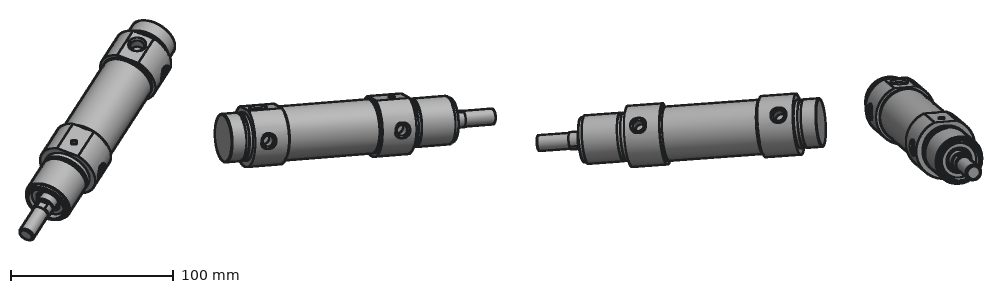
import cadquery as cq

total_length = 178.0

collar_diameter = 38.0
collar_length = 22.0
overall_height = 36.5
flat_height = overall_height - collar_diameter / 2
front_collar_start = 58.0
rear_collar_end = 164.0
rear_collar_start = rear_collar_end - collar_length
front_collar_end = front_collar_start + collar_length
port_inset = 8.9

barrel_diameter = 33.6
shoulder_length = 1.5
barrel_start = front_collar_end + shoulder_length
barrel_end = rear_collar_start - shoulder_length

neck_diameter = 30.0
relief_diameter = 28.0
groove_width = 2.1
front_groove_inset = 3.2
rear_groove_inset = 2.1
rear_chamfer = 0.5

nose_start = 28.0
nose_length = 2.7
nose_chamfer = 0.5
recess_mouth_diameter = 24.2
recess_floor_diameter = 22.0
recess_depth = 2.7
gland_mouth_diameter = 16.0
gland_chamfer = 0.5
gland_depth = 1.2
seal_bore_diameter = 13.0
seal_bore_depth = 2.7

counterbore_diameter = 10.0
counterbore_depth = 1.5
side_bore_diameter = 7.0
side_bore_depth = 8.9

port_mouth_diameter = 11.0
port_diameter = 8.5
port_depth = 7.1
port_point_depth = 2.5
screw_mouth_diameter = 4.0
screw_hole_diameter = 3.0
screw_hole_depth = 3.5

rod_diameter = 12.0
rod_shoulder = 26.5
rod_neck_diameter = 11.0
rod_neck_chamfer = 0.5
stud_diameter = 10.0
stud_length = 20.1
neck_step_length = 0.4
stud_tip_diameter = 8.0
stud_tip_chamfer = 0.7
flats_width = 9.6
flats_end = 25.0
flats_runout = 0.5


def turned(points):
    """Revolve an outline of (radius, y) points about the Y axis."""
    return cq.Workplane("XY").polyline(points).close().revolve(360, (0, 0), (0, 1))


def bar_along_y(diameter, start, end):
    """Plain cylinder on the Y axis."""
    return cq.Workplane("XZ", origin=(0, start, 0)).circle(diameter / 2).extrude(start - end)


def collar(start):
    """Round collar with a flat on top."""
    body = bar_along_y(collar_diameter, start, start + collar_length)
    above_flat = cq.Workplane("XY", origin=(0, start + collar_length / 2, flat_height)).box(
        collar_diameter, collar_length, collar_diameter, centered=(True, True, False)
    )
    return body.cut(above_flat)


def side_bores(y):
    """Cutters for the stepped holes in both sides of a collar."""
    radius = collar_diameter / 2
    plane = cq.Workplane("YZ", origin=(0, y, 0))
    cutters = cq.Workplane("YZ")
    for side in (-1, 1):
        for diameter, depth in (
            (counterbore_diameter, counterbore_depth),
            (side_bore_diameter, side_bore_depth),
        ):
            bottom = plane.workplane(offset=side * (radius - depth))
            step = bottom.circle(diameter / 2).extrude(side * depth)
            cutters = cutters.add(step)
    return cutters.combine()


def relief_groove(start):
    """Ring cutter for the relief groove in a neck."""
    end = start + groove_width
    return bar_along_y(collar_diameter, start, end).cut(bar_along_y(relief_diameter, start, end))


def chamfered_hole(y, mouth_diameter, diameter, depth, point_depth):
    """Cutter sunk into a collar flat: 45 degree mouth, bore, and a conical point below it."""
    mouth, bore = mouth_diameter / 2, diameter / 2
    outline = [(0, 0), (mouth, 0), (bore, bore - mouth), (bore, -depth), (0, -depth - point_depth)]
    cutter = cq.Workplane("XZ").polyline(outline).close().revolve(360, (0, 0), (0, 1))
    return cutter.translate((0, y, flat_height))


def make_front_cap():
    neck_start = nose_start + nose_length
    port_y = front_collar_start + port_inset
    nose = bar_along_y(relief_diameter, nose_start, neck_start).faces("<Y").chamfer(nose_chamfer)
    neck = bar_along_y(neck_diameter, neck_start, front_collar_start)
    neck = neck.cut(relief_groove(front_collar_start - front_groove_inset - groove_width))
    shoulder = bar_along_y(barrel_diameter, front_collar_end, barrel_start)

    floor = nose_start + recess_depth
    gland_radius = gland_mouth_diameter / 2 - gland_chamfer
    recess = turned([
        (0, nose_start),
        (recess_mouth_diameter / 2, nose_start),
        (recess_floor_diameter / 2, floor),
        (gland_mouth_diameter / 2, floor),
        (gland_radius, floor + gland_chamfer),
        (gland_radius, floor + gland_depth),
        (seal_bore_diameter / 2, floor + gland_depth),
        (seal_bore_diameter / 2, floor + seal_bore_depth),
        (0, floor + seal_bore_depth),
    ])
    rod_bore = bar_along_y(rod_diameter, nose_start, barrel_start)
    screw_hole = chamfered_hole(port_y, screw_mouth_diameter, screw_hole_diameter, screw_hole_depth, 0)
    cap = collar(front_collar_start).union(neck).union(nose).union(shoulder)
    return cap.cut(side_bores(port_y)).cut(recess).cut(rod_bore).cut(screw_hole)


def make_rear_cap():
    port_y = rear_collar_end - port_inset
    neck = bar_along_y(neck_diameter, rear_collar_end, total_length).faces(">Y").chamfer(rear_chamfer)
    neck = neck.cut(relief_groove(rear_collar_end + rear_groove_inset))
    shoulder = bar_along_y(barrel_diameter, barrel_end, rear_collar_start)
    cap = collar(rear_collar_start).union(neck).union(shoulder)
    port = chamfered_hole(port_y, port_mouth_diameter, port_diameter, port_depth, port_point_depth)
    return cap.cut(side_bores(port_y)).cut(port)


def make_barrel():
    return bar_along_y(barrel_diameter, barrel_start, barrel_end)


def make_piston_rod():
    """Rod with a necked stud and two wrench flats that run out on short slopes."""
    rod = turned([
        (0, 0),
        (stud_tip_diameter / 2, 0),
        (stud_diameter / 2, stud_tip_chamfer),
        (stud_diameter / 2, stud_length),
        (rod_neck_diameter / 2, stud_length + neck_step_length),
        (rod_neck_diameter / 2, rod_shoulder - rod_neck_chamfer),
        (rod_diameter / 2, rod_shoulder),
        (rod_diameter / 2, barrel_start),
        (0, barrel_start),
    ])
    flat_z, clear_z = flats_width / 2, rod_diameter / 2
    flat_waste = (
        cq.Workplane("YZ")
        .polyline([
            (stud_length, flat_z),
            (flats_end, flat_z),
            (flats_end + flats_runout, clear_z),
            (stud_length, clear_z),
        ])
        .close()
        .extrude(clear_z, both=True)
    )
    return rod.cut(flat_waste).cut(flat_waste.mirror("XY"))


front_cap = make_front_cap()
rear_cap = make_rear_cap()
barrel = make_barrel()
piston_rod = make_piston_rod()

result = cq.Compound.makeCompound([front_cap.val(), rear_cap.val(), barrel.val(), piston_rod.val()])